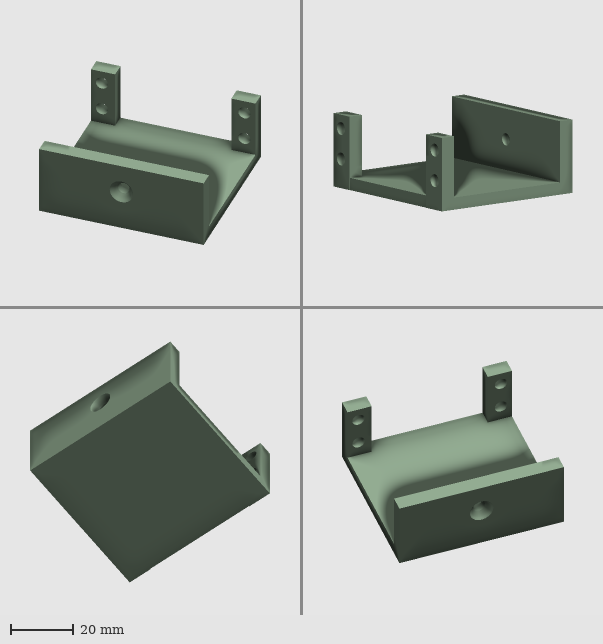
import cadquery as cq

width = 56.3
depth = 53.2
height = 24.0

floor_thickness = 4.0
floor_setback = 0.15
wall_thickness = 5.0
post_width = 8.3

screw_diameter = 4.0
countersink_diameter = 8.0
countersink_angle = 82.0
screw_height = 14.0

post_hole_diameter = 4.2
post_hole_side_distance = 3.8
post_hole_heights = (9.5, 19.5)

front_y = -depth / 2
rear_y = depth / 2
post_x = (width - post_width) / 2
post_hole_x = width / 2 - post_hole_side_distance


def block(size_x, size_y, size_z, x, y):
    """Box standing on the base plane, centred at x with its front face at y."""
    return cq.Workplane("XY").box(
        size_x, size_y, size_z, centered=(True, False, False)
    ).translate((x, y, 0))


body = block(width, depth - floor_setback, floor_thickness, 0, front_y)
body = body.union(block(width, wall_thickness, height, 0, front_y))

for side in (-1, 1):
    post = block(post_width, wall_thickness, height, side * post_x, rear_y - wall_thickness)
    body = body.union(post)
    for z in post_hole_heights:
        hole = (
            cq.Workplane("XZ", origin=(side * post_hole_x, rear_y, z))
            .circle(post_hole_diameter / 2)
            .extrude(wall_thickness)
        )
        body = body.cut(hole)

result = (
    body.faces("<Y")
    .workplane(origin=(0, front_y, screw_height))
    .cskHole(screw_diameter, countersink_diameter, countersink_angle, depth=wall_thickness)
)